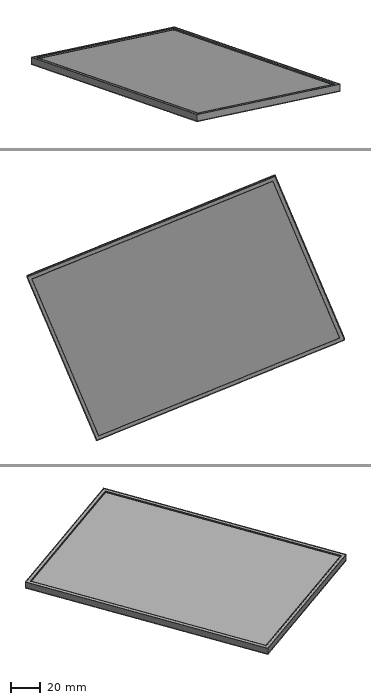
import cadquery as cq

LENGTH = 185.0
WIDTH = 125.0
HEIGHT = 5.0

RIM_WIDTH = 2.5
PANEL_RECESS = 1.0

OPENING_LENGTH = LENGTH - 2 * RIM_WIDTH
OPENING_WIDTH = WIDTH - 2 * RIM_WIDTH
PANEL_THICKNESS = HEIGHT - PANEL_RECESS


def block(length, width, height):
    """Rectangular block centred in X and Y, standing on Z = 0."""
    return cq.Workplane("XY").box(length, width, height, centered=(True, True, False))


def make_frame():
    """Rectangular border with an opening right through it."""
    opening = block(OPENING_LENGTH, OPENING_WIDTH, HEIGHT)
    return block(LENGTH, WIDTH, HEIGHT).cut(opening)


def make_panel():
    """Flat panel filling the opening, flush with the frame's underside."""
    return block(OPENING_LENGTH, OPENING_WIDTH, PANEL_THICKNESS)


frame = make_frame()
panel = make_panel()

result = cq.Compound.makeCompound([frame.val(), panel.val()])